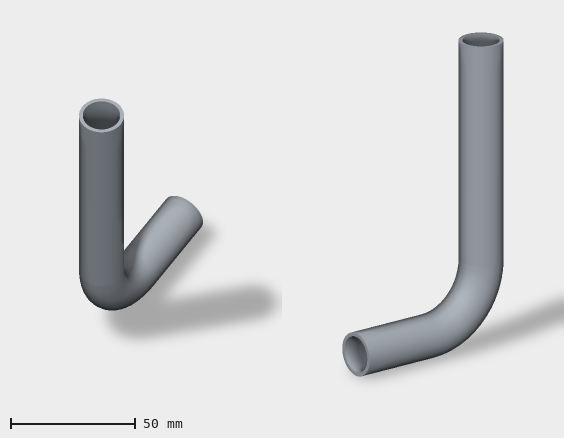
import cadquery as cq

outer_diameter = 18.0
bore_diameter = 15.0
total_height = 129.0
total_depth = 72.0
bend_radius = 27.0

bend_outer_radius = bend_radius + outer_diameter / 2
upright_length = total_height - bend_outer_radius
foot_length = total_depth - bend_outer_radius

bend_centre = cq.Vector(0, bend_radius, 0)
bend_middle = bend_centre + cq.Vector(0, -1, -1).normalized() * bend_radius
centreline = (
    cq.Workplane("YZ")
    .moveTo(0, upright_length)
    .lineTo(0, 0)
    .threePointArc((bend_middle.y, bend_middle.z), (bend_radius, -bend_radius))
    .lineTo(bend_radius + foot_length, -bend_radius)
)

result = (
    cq.Workplane("XY", origin=(0, 0, upright_length))
    .circle(outer_diameter / 2)
    .circle(bore_diameter / 2)
    .sweep(centreline)
)